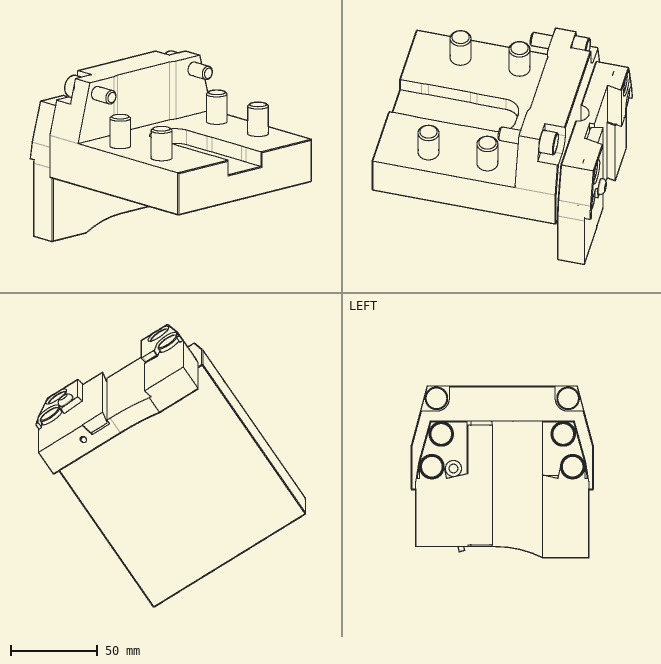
import cadquery as cq
import math


BASE_LENGTH = 109.3
BASE_WIDTH = 105.0
BASE_HEIGHT = 25.5
EDGE_CHAMFER = 0.5

SLOT_START = 36.5
SLOT_WIDTH = 25.7
SLOT_DEPTH = 8.7
SLOT_CORNER_RADIUS = 9.5
SLOT_RELIEF_START = 63.2
SLOT_RELIEF_END = 96.2
SLOT_RELIEF_RUNOUT = 4.0
SLOT_RELIEF_DEPTH = 0.3

WALL_THICKNESS = 24.4
WALL_TOP = 60.0
WALL_TOP_WIDTH = 86.4
RELIEF_DEPTH = 1.2
RELIEF_HALF_WIDTH = 20.4
RELIEF_RUNOUT = 4.0

BOLT_Y = 37.9
BOLT_Z = 52.9
BOLT_HEAD_DIAMETER = 13.0
BOLT_HEAD_START = 3.7
BOLT_SHANK_DIAMETER = 8.0
BOLT_END = 37.4
BOLT_POCKET_DEPTH = 12.2
BOLT_POCKET_RADIUS = 7.4
BOLT_TIP_CHAMFER = 0.9
HEAD_CHAMFER = 0.5
PIN_DIAMETER = 12.0
PIN_ROOT = 13.2
PIN_TOP = 42.9
PIN_X = (44.4, 79.4)
PIN_CHAMFER = 1.0

PLATE_TOP = 39.8
PLATE_TOP_HALF_WIDTH = 41.5
PLATE_BREAK_HALF_WIDTH = 48.0
PLATE_BREAK_Z = 16.4
PLATE_HALF_WIDTH = 49.8
PLATE_SLOPE_END_Z = 4.9
PLATE_LEFT_BOTTOM = -32.6
PLATE_RIGHT_BOTTOM = -39.0
PLATE_ARC_START_Y = 3.7
PLATE_FRONT = -19.9
STEP_FRONT = -16.2
NOTCH_RADIUS = 6.2
NOTCH_DEPTH = 19.9

CHANNEL_LEFT_Y = 20.4
CHANNEL_RIGHT_Y = -23.2
CHANNEL_FLOOR = -11.1
GIB_SEAT_FLOOR = -8.3
GIB_SEAT_EDGE_Y = 6.0
DOVETAIL_SLOPE = 0.21

GIB_BACK = -9.3
GIB_FREE_FRONT_Y = 5.5
GIB_TOP = 37.5
GIB_BOTTOM = -31.5
GIB_SCREW_DIAMETER = 5.0
GIB_SCREW_Y = 12.6
GIB_SCREW_Z = 0.0

LAND_EDGE_Z = 6.8
LAND_EDGE_CORNER_Y = 32.0
LAND_EDGE_SLOPE = 0.225
RIGHT_LAND_EDGE_Z = 8.5
LEDGE_THICKNESS = 0.4

PLATE_SCREWS = ((35.1, 32.3), (40.5, 13.5))
PLATE_SCREW_DIAMETER = 13.0
COUNTERBORE_DIAMETER = 14.0
COUNTERBORE_DEPTH = 8.0
PLATE_SCREW_SINK = 1.0

BUTTON_Y = 28.1
BUTTON_Z = 12.5
BUTTON_DIAMETER = 9.3
BUTTON_TIP_DIAMETER = 5.0
BUTTON_HEIGHT = 3.3
BUTTON_RIM = 0.5

SET_SCREW_DIAMETER = 3.3
SET_SCREW_X = -9.0
SET_SCREW_Y = 23.8
SET_SCREW_REACH = 2.6
SET_SCREW_EMBED = 6.6
SET_SCREW_TILT = 15.0

CUT_CLEARANCE = 1.3
SIDES = (-1, 1)


def rod_x(diameter, x_start, x_end, y, z):
    """Round bar along X."""
    return cq.Workplane("YZ", origin=(x_start, y, z)).circle(diameter / 2).extrude(x_end - x_start)


def flank_y(edge_y, x, edge_x=PLATE_FRONT):
    """Y at depth x of a channel flank that leans toward -Y from its edge at edge_x."""
    return edge_y - DOVETAIL_SLOPE * (x - edge_x)


def make_base():
    base = (
        cq.Workplane("XY")
        .box(BASE_LENGTH, BASE_WIDTH, BASE_HEIGHT, centered=(False, True, False))
        .union(wall_blank())
    )
    overshoot = 2 * SLOT_CORNER_RADIUS
    slot_length = BASE_LENGTH - SLOT_START + overshoot
    slot = (
        cq.Workplane("XY", origin=(SLOT_START, 0, BASE_HEIGHT - SLOT_DEPTH))
        .box(slot_length, SLOT_WIDTH, 2 * SLOT_DEPTH, centered=(False, True, False))
        .edges("|Z and <X")
        .fillet(SLOT_CORNER_RADIUS)
    )
    base = (
        base.cut(slot)
        .cut(slot_relief())
        .faces("<Z or >X or <X")
        .edges()
        .chamfer(EDGE_CHAMFER)
    )
    for side in SIDES:
        base = base.cut(bolt_pocket(side)).union(wall_bolt(side))
        for x in PIN_X:
            pin = (
                cq.Workplane("XY", origin=(x, side * BOLT_Y, PIN_ROOT))
                .circle(PIN_DIAMETER / 2)
                .extrude(PIN_TOP - PIN_ROOT)
                .faces(">Z")
                .chamfer(PIN_CHAMFER)
            )
            base = base.union(pin)
    return base


def slot_relief():
    """Shallow widening of the slot that leaves guide lands at both of its ends."""
    half_width = SLOT_WIDTH / 2
    half_relief = half_width + SLOT_RELIEF_DEPTH
    wide_start = SLOT_RELIEF_START + SLOT_RELIEF_RUNOUT
    wide_end = SLOT_RELIEF_END - SLOT_RELIEF_RUNOUT
    return (
        cq.Workplane("XY", origin=(0, 0, BASE_HEIGHT - SLOT_DEPTH))
        .polyline([
            (SLOT_RELIEF_START, -half_width),
            (wide_start, -half_relief),
            (wide_end, -half_relief),
            (SLOT_RELIEF_END, -half_width),
            (SLOT_RELIEF_END, half_width),
            (wide_end, half_relief),
            (wide_start, half_relief),
            (SLOT_RELIEF_START, half_width),
        ])
        .close()
        .extrude(SLOT_DEPTH)
    )


def wall_blank():
    half_base = BASE_WIDTH / 2
    half_top = WALL_TOP_WIDTH / 2
    wall = (
        cq.Workplane("YZ")
        .polyline([
            (-half_base, BASE_HEIGHT),
            (half_base, BASE_HEIGHT),
            (half_top, WALL_TOP),
            (-half_top, WALL_TOP),
        ])
        .close()
        .extrude(WALL_THICKNESS)
    )
    relief_outer = RELIEF_HALF_WIDTH + RELIEF_RUNOUT
    relief = (
        cq.Workplane("XY", origin=(0, 0, BASE_HEIGHT))
        .polyline([
            (WALL_THICKNESS, -relief_outer),
            (WALL_THICKNESS - RELIEF_DEPTH, -RELIEF_HALF_WIDTH),
            (WALL_THICKNESS - RELIEF_DEPTH, RELIEF_HALF_WIDTH),
            (WALL_THICKNESS, relief_outer),
        ])
        .close()
        .extrude(WALL_TOP - BASE_HEIGHT)
    )
    return wall.cut(relief)


def bolt_pocket(side):
    """Pocket for a bolt head: round inside, open to the top and to the sloped side."""
    inner_y = BOLT_Y - BOLT_POCKET_RADIUS
    diagonal = BOLT_POCKET_RADIUS * math.sqrt(0.5)
    floor_z = BOLT_Z - BOLT_POCKET_RADIUS
    half_base = BASE_WIDTH / 2
    return (
        cq.Workplane("YZ")
        .moveTo(side * inner_y, WALL_TOP)
        .lineTo(side * inner_y, BOLT_Z)
        .threePointArc((side * (BOLT_Y - diagonal), BOLT_Z - diagonal), (side * BOLT_Y, floor_z))
        .lineTo(side * half_base, floor_z)
        .lineTo(side * half_base, WALL_TOP)
        .close()
        .extrude(BOLT_POCKET_DEPTH)
    )


def wall_bolt(side):
    y = side * BOLT_Y
    head = rod_x(BOLT_HEAD_DIAMETER, BOLT_HEAD_START, BOLT_POCKET_DEPTH, y, BOLT_Z)
    shank = rod_x(BOLT_SHANK_DIAMETER, BOLT_HEAD_START, BOLT_END, y, BOLT_Z)
    head = head.faces("<X").chamfer(HEAD_CHAMFER)
    return head.union(shank.faces(">X").chamfer(BOLT_TIP_CHAMFER))


def plate_blank():
    """Full-thickness plate outline with sloped shoulders and an arched lower edge."""
    run = PLATE_ARC_START_Y - CHANNEL_RIGHT_Y
    drop = PLATE_LEFT_BOTTOM - PLATE_RIGHT_BOTTOM
    arc_radius = (run**2 + drop**2) / (2 * drop)
    half_angle = math.asin(run / arc_radius) / 2
    arc_middle = (
        PLATE_ARC_START_Y - arc_radius * math.sin(half_angle),
        PLATE_LEFT_BOTTOM - arc_radius * (1 - math.cos(half_angle)),
    )
    return (
        cq.Workplane("YZ")
        .moveTo(PLATE_TOP_HALF_WIDTH, PLATE_TOP)
        .lineTo(PLATE_BREAK_HALF_WIDTH, PLATE_BREAK_Z)
        .lineTo(PLATE_HALF_WIDTH, PLATE_SLOPE_END_Z)
        .lineTo(PLATE_HALF_WIDTH, PLATE_LEFT_BOTTOM)
        .lineTo(PLATE_ARC_START_Y, PLATE_LEFT_BOTTOM)
        .threePointArc(arc_middle, (CHANNEL_RIGHT_Y, PLATE_RIGHT_BOTTOM))
        .lineTo(-PLATE_HALF_WIDTH, PLATE_RIGHT_BOTTOM)
        .lineTo(-PLATE_HALF_WIDTH, PLATE_SLOPE_END_Z)
        .lineTo(-PLATE_BREAK_HALF_WIDTH, PLATE_BREAK_Z)
        .lineTo(-PLATE_TOP_HALF_WIDTH, PLATE_TOP)
        .close()
        .extrude(PLATE_FRONT)
        .faces("<X or >X")
        .edges()
        .chamfer(EDGE_CHAMFER)
    )


def dovetail_channel(bottom, top, right_edge_x):
    """Channel between two heights; its right flank starts on the face at right_edge_x."""
    outer_x = PLATE_FRONT - CUT_CLEARANCE
    return (
        cq.Workplane("XY", origin=(0, 0, bottom))
        .polyline([
            (outer_x, CHANNEL_LEFT_Y),
            (PLATE_FRONT, CHANNEL_LEFT_Y),
            (GIB_SEAT_FLOOR, flank_y(CHANNEL_LEFT_Y, GIB_SEAT_FLOOR)),
            (GIB_SEAT_FLOOR, GIB_SEAT_EDGE_Y),
            (CHANNEL_FLOOR, GIB_SEAT_EDGE_Y),
            (CHANNEL_FLOOR, flank_y(CHANNEL_RIGHT_Y, CHANNEL_FLOOR, right_edge_x)),
            (right_edge_x, CHANNEL_RIGHT_Y),
            (outer_x, CHANNEL_RIGHT_Y),
        ])
        .close()
        .extrude(top - bottom)
    )


def lower_step(side):
    """Cut that thins the plate below the raised land, reaching up around the lower screw."""
    screw_y, screw_z = PLATE_SCREWS[1]
    radius = COUNTERBORE_DIAMETER / 2
    outline = [
        (0, LAND_EDGE_Z + LAND_EDGE_SLOPE * LAND_EDGE_CORNER_Y),
        (LAND_EDGE_CORNER_Y, LAND_EDGE_Z),
        (screw_y - radius, screw_z),
        (screw_y + radius, screw_z),
        (screw_y + radius, LAND_EDGE_Z),
        (PLATE_HALF_WIDTH, LAND_EDGE_Z),
        (PLATE_HALF_WIDTH, PLATE_RIGHT_BOTTOM),
        (0, PLATE_RIGHT_BOTTOM),
    ]
    return (
        cq.Workplane("YZ", origin=(PLATE_FRONT, 0, 0))
        .polyline([(side * y, z) for y, z in outline])
        .close()
        .extrude(STEP_FRONT - PLATE_FRONT)
    )


def right_land_trim():
    """Squares the lower edge of the right land, leaving a thin sloped ledge behind it."""
    return cq.Workplane("XY").box(
        STEP_FRONT - LEDGE_THICKNESS - PLATE_FRONT,
        LAND_EDGE_CORNER_Y + CHANNEL_RIGHT_Y,
        RIGHT_LAND_EDGE_Z - LAND_EDGE_Z,
        centered=False,
    ).translate((PLATE_FRONT, -LAND_EDGE_CORNER_Y, LAND_EDGE_Z))


def make_gib():
    """Tapered strip that bears on the left flank of the channel, with its screw behind it."""
    gib_free_back_y = GIB_FREE_FRONT_Y + DOVETAIL_SLOPE * (GIB_BACK - STEP_FRONT)
    strip = (
        cq.Workplane("XY", origin=(0, 0, GIB_BOTTOM))
        .polyline([
            (STEP_FRONT, flank_y(CHANNEL_LEFT_Y, STEP_FRONT)),
            (GIB_BACK, flank_y(CHANNEL_LEFT_Y, GIB_BACK)),
            (GIB_BACK, gib_free_back_y),
            (STEP_FRONT, GIB_FREE_FRONT_Y),
        ])
        .close()
        .extrude(GIB_TOP - GIB_BOTTOM)
    )
    return strip.union(rod_x(GIB_SCREW_DIAMETER, GIB_BACK, GIB_SEAT_FLOOR, GIB_SCREW_Y, GIB_SCREW_Z))


def make_button_screw():
    """Domed head with a short straight rim and a small flat tip."""
    rim = BUTTON_DIAMETER / 2
    tip = BUTTON_TIP_DIAMETER / 2
    diagonal = math.sqrt(0.5)
    dome_middle = (tip + (rim - tip) * diagonal, BUTTON_RIM + (BUTTON_HEIGHT - BUTTON_RIM) * diagonal)
    return (
        cq.Workplane("XY")
        .lineTo(rim, 0)
        .lineTo(rim, BUTTON_RIM)
        .threePointArc(dome_middle, (tip, BUTTON_HEIGHT))
        .lineTo(0, BUTTON_HEIGHT)
        .close()
        .revolve(360, (0, 0), (0, 1))
        .rotate((0, 0, 0), (0, 0, 1), 90)
        .translate((PLATE_FRONT, BUTTON_Y, BUTTON_Z))
    )


def make_set_screw():
    return (
        cq.Workplane("XY", origin=(0, 0, -SET_SCREW_REACH))
        .circle(SET_SCREW_DIAMETER / 2)
        .extrude(SET_SCREW_REACH + SET_SCREW_EMBED)
        .rotate((0, 0, 0), (1, 0, 0), -SET_SCREW_TILT)
        .translate((SET_SCREW_X, SET_SCREW_Y, PLATE_LEFT_BOTTOM))
    )


def make_plate():
    plate = (
        plate_blank()
        .cut(dovetail_channel(RIGHT_LAND_EDGE_Z, PLATE_TOP, PLATE_FRONT))
        .cut(dovetail_channel(PLATE_RIGHT_BOTTOM, RIGHT_LAND_EDGE_Z, STEP_FRONT))
        .cut(right_land_trim())
    )
    for side in SIDES:
        plate = plate.cut(lower_step(side))
    notch = (
        cq.Workplane("XY", origin=(0, 0, PLATE_TOP))
        .circle(NOTCH_RADIUS)
        .extrude(-NOTCH_DEPTH)
    )
    plate = plate.cut(notch)
    seat_x = PLATE_FRONT + COUNTERBORE_DEPTH
    head_x = PLATE_FRONT + PLATE_SCREW_SINK
    for distance, z in PLATE_SCREWS:
        for side in SIDES:
            y = side * distance
            plate = plate.cut(rod_x(COUNTERBORE_DIAMETER, PLATE_FRONT, seat_x, y, z))
            head = rod_x(PLATE_SCREW_DIAMETER, head_x, seat_x, y, z)
            plate = plate.union(head.faces("<X").chamfer(HEAD_CHAMFER))
    return plate.union(make_gib()).union(make_button_screw()).union(make_set_screw())


result = make_base().union(make_plate())